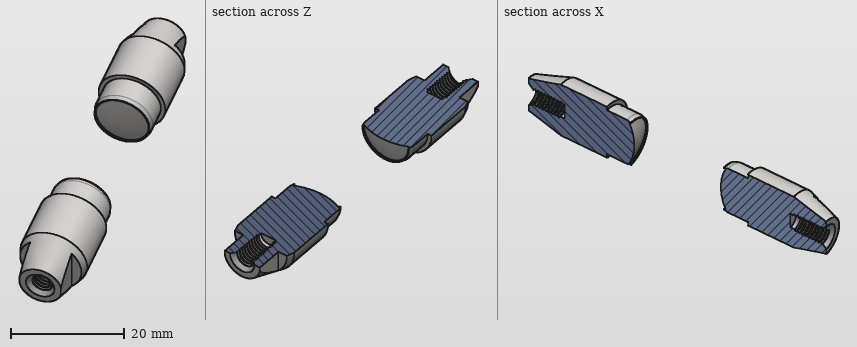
import cadquery as cq
import math

overall_length = 64.2

body_radius = 6.3
neck_radius = 5.45
neck_face_radius = 5.2
tip_radius = 4.0
taper_length = 7.0
shoulder_distance = 16.95
neck_chamfer_distance = 21.2
neck_face_distance = 22.1
pin_length = 22.85

dome_sphere_radius = 12.0
dome_edge_radius = 5.0

flat_width = 7.85
flat_length = 5.45

thread_major_radius = 2.0
thread_minor_radius = 1.6
thread_pitch = 0.7
thread_start = 0.8
thread_length = 6.35
hole_depth = 7.7
countersink_radius = 2.7
thread_half_angle = math.radians(30)
groove_root_width = thread_pitch / 8
groove_overlap = 0.05


def dome_y(x):
    """Distance of the spherical dome from the tip face, at radius x."""
    return pin_length - dome_sphere_radius + math.sqrt(dome_sphere_radius**2 - x**2)


def make_turned_blank():
    """Revolved pin along +Y: tapered tip at Y = 0, body, chamfered neck and domed end."""
    arc_middle_x = dome_edge_radius / 2
    return (
        cq.Workplane("XY")
        .lineTo(tip_radius, 0)
        .lineTo(body_radius, taper_length)
        .lineTo(body_radius, shoulder_distance)
        .lineTo(neck_radius, shoulder_distance)
        .lineTo(neck_radius, neck_chamfer_distance)
        .lineTo(neck_face_radius, neck_face_distance)
        .lineTo(dome_edge_radius, neck_face_distance)
        .lineTo(dome_edge_radius, dome_y(dome_edge_radius))
        .threePointArc((arc_middle_x, dome_y(arc_middle_x)), (0, pin_length))
        .close()
        .revolve(360, (0, 0, 0), (0, 1, 0))
    )


def cut_wrench_flats(pin):
    """Leave only the flat width, centred on X, over the flat length."""
    cutter_size = 2 * body_radius
    cutter_center_x = (flat_width + cutter_size) / 2
    for side in (-1, 1):
        cutter = (
            cq.Workplane("XY")
            .box(cutter_size, flat_length, cutter_size)
            .translate((side * cutter_center_x, flat_length / 2, 0))
        )
        pin = pin.cut(cutter)
    return pin


def make_hole():
    """Countersunk blind bore at the thread's minor radius, running along +Y."""
    countersink_depth = countersink_radius - thread_minor_radius
    return (
        cq.Workplane("XY")
        .lineTo(countersink_radius, 0)
        .lineTo(thread_minor_radius, countersink_depth)
        .lineTo(thread_minor_radius, hole_depth)
        .lineTo(0, hole_depth)
        .close()
        .revolve(360, (0, 0, 0), (0, 1, 0))
    )


def make_thread_groove():
    """Right-hand helical V groove around +Y, its mouth slightly inside the bore wall."""
    mouth_radius = thread_minor_radius - groove_overlap
    root_half = groove_root_width / 2
    mouth_half = root_half + (thread_major_radius - mouth_radius) * math.tan(thread_half_angle)
    helix = cq.Wire.makeHelix(thread_pitch, thread_length, thread_minor_radius)
    groove = (
        cq.Workplane("XZ")
        .moveTo(mouth_radius, -mouth_half)
        .lineTo(thread_major_radius, -root_half)
        .lineTo(thread_major_radius, root_half)
        .lineTo(mouth_radius, mouth_half)
        .close()
        .sweep(cq.Workplane(obj=helix), isFrenet=True)
    )
    return groove.rotate((0, 0, 0), (1, 0, 0), -90).translate((0, thread_start, 0))


def make_pin():
    """One complete pin with its tip face at Y = 0, pointing along +Y."""
    pin = cut_wrench_flats(make_turned_blank())
    return pin.cut(make_hole()).cut(make_thread_groove())


pins = []
for turn in (0, 180):
    pin = make_pin().translate((0, -overall_length / 2, 0)).rotate((0, 0, 0), (0, 0, 1), turn)
    pins.append(pin.val())

result = cq.Compound.makeCompound(pins)